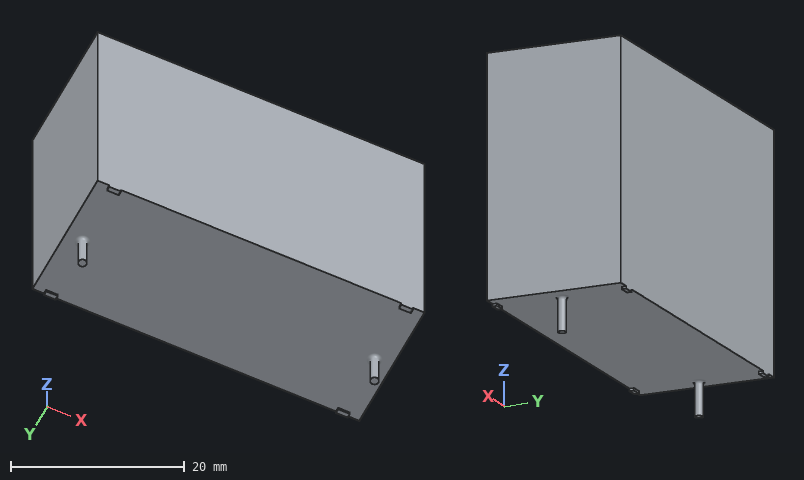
import cadquery as cq

case_length = 42.0
case_width = 17.0
total_height = 34.0
pin_length = 4.25
case_height = total_height - pin_length

pin_diameter = 1.0
pin_spacing = 37.5
root_fillet = 0.4

foot_length = 1.5
foot_width = 0.6
foot_height = 0.3


def make_case():
    """Plain box standing on Z = 0."""
    return cq.Workplane("XY").box(case_length, case_width, case_height, centered=(True, True, False))


def make_foot(x, side):
    """Foot flush with the long face on the given side (-1 or 1)."""
    y = side * (case_width - foot_width) / 2
    return (
        cq.Workplane("XY")
        .center(x, y)
        .rect(foot_length, foot_width)
        .extrude(-foot_height)
    )


def make_pin(x):
    """Pin hanging below the case, flaring into it with a concave fillet."""
    pin_radius = pin_diameter / 2
    flare_radius = pin_radius + root_fillet
    return (
        cq.Workplane("XZ")
        .lineTo(flare_radius, 0)
        .radiusArc((pin_radius, -root_fillet), -root_fillet)
        .lineTo(pin_radius, -pin_length)
        .lineTo(0, -pin_length)
        .close()
        .revolve(360, (0, 0, 0), (0, 1, 0))
        .translate((x, 0, 0))
    )


result = make_case()
for pin_x in (-pin_spacing / 2, pin_spacing / 2):
    result = result.union(make_pin(pin_x))
    for long_side in (-1, 1):
        result = result.union(make_foot(pin_x, long_side))